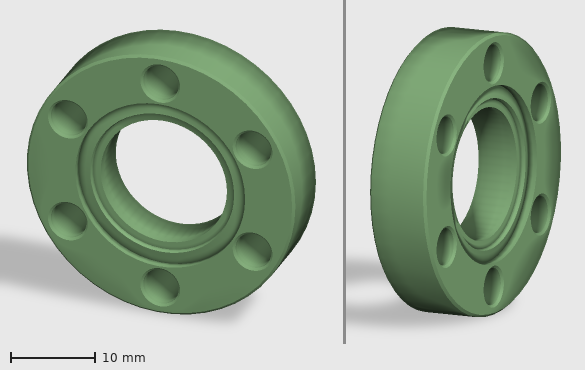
import cadquery as cq
import math

outer_diameter = 34.0
thickness = 7.6
rim_chamfer = 0.3
bore_diameter = 15.98

recess_diameter = 21.5
knife_diameter = 18.22
seat_diameter = 17.9
recess_depth = 1.1
knife_depth = 0.65
seat_depth = 1.22

bolt_count = 6
bolt_circle_diameter = 27.0
bolt_hole_diameter = 4.5
bolt_chamfer = 0.27

half_thickness = thickness / 2


def revolve_symmetric(half_section):
    """Mirror the -Y half of a (radius, y) outline across y = 0 and revolve the whole about Y."""
    mirrored_section = [(radius, -y) for radius, y in reversed(half_section)]
    section = half_section + mirrored_section
    return cq.Workplane("XY").polyline(section).close().revolve(360, (0, 0, 0), (0, 1, 0))


def make_body():
    """Flange ring with bore, seats, knife edges, recesses and chamfered rims."""
    bore_radius = bore_diameter / 2
    recess_radius = recess_diameter / 2
    rim_radius = outer_diameter / 2
    return revolve_symmetric([
        (bore_radius, seat_depth - half_thickness),
        (seat_diameter / 2, seat_depth - half_thickness),
        (knife_diameter / 2, knife_depth - half_thickness),
        (recess_radius, recess_depth - half_thickness),
        (recess_radius, -half_thickness),
        (rim_radius - rim_chamfer, -half_thickness),
        (rim_radius, rim_chamfer - half_thickness),
    ])


def make_bolt_hole(angle):
    """Through hole with both mouths chamfered, at an angle from +X."""
    hole_radius = bolt_hole_diameter / 2
    hole = revolve_symmetric([
        (0, -half_thickness),
        (hole_radius + bolt_chamfer, -half_thickness),
        (hole_radius, bolt_chamfer - half_thickness),
    ])
    pitch_radius = bolt_circle_diameter / 2
    return hole.translate((pitch_radius * math.cos(angle), 0, pitch_radius * math.sin(angle)))


result = make_body()
for index in range(bolt_count):
    bolt_angle = math.pi / 2 + index * 2 * math.pi / bolt_count
    result = result.cut(make_bolt_hole(bolt_angle))